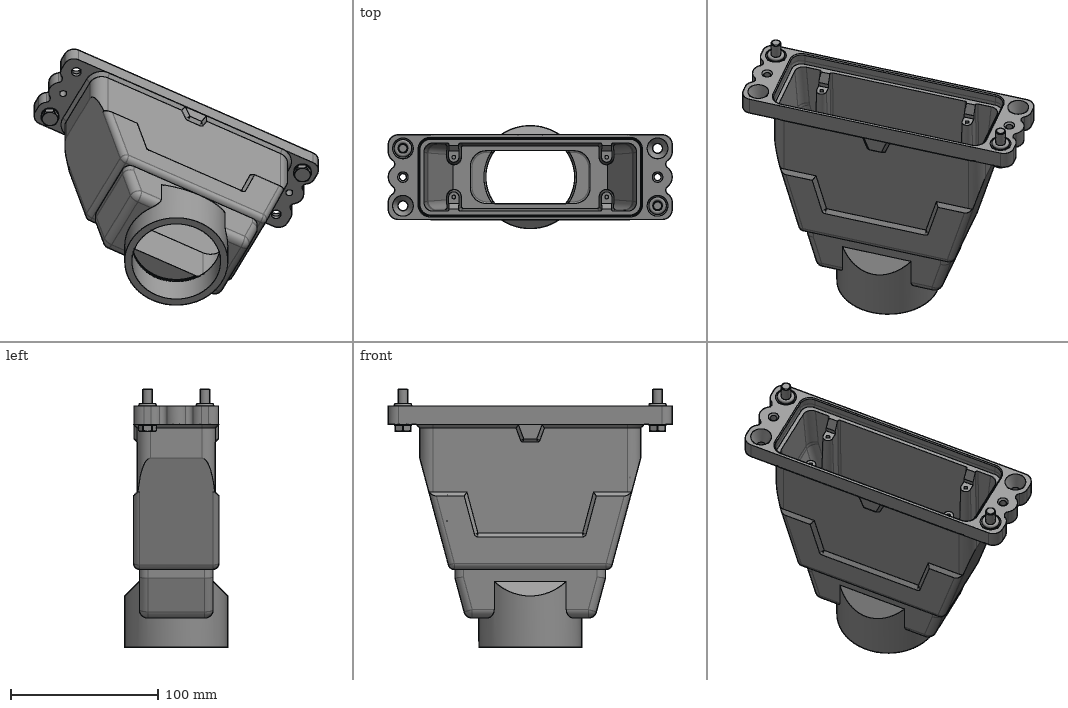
import cadquery as cq
import math


entry_floor_z = 24.0
lower_bottom_z = 19.9
lower_bend_z = 47.0
band_bottom_z = 52.9
cavity_floor_z = 58.5
band_top_z = 105.4
cavity_bend_z = 122.5
body_bend_z = 128.5
flange_bottom_z = 151.5
flange_top_z = 164.0
screw_tip_z = 175.6

bevel_angle = 45
side_slope = math.tan(math.radians(15))
flange_length = 193.0
flange_width = 57.7
flange_corner = 7.0
body_length = 150.2
body_width = 53.0
body_corner = 9.0
neck_chamfer = 2.5
band_width = 58.0
band_edge = 4.2
band_step = (band_width - body_width) / 2
lower_length = 102.3
lower_width = 50.2
lower_edge = 5.8
tube_radius = 70.0 / 2
tube_eaves_z = 35.0

window_bottom_z = 77.5
window_bottom_half = 35.5
window_top_half = window_bottom_half + (band_top_z - window_bottom_z) * side_slope

tab_height = 9.8
tab_top_half = 8.1
tab_bottom_half = 4.5

lobe_radius = 8.1
groove_radius = 3.0
groove_y = 8.9

hole_x = 86.5
hole_y = 19.5
screw_hole_diameter = 6.5
countersink_diameter = 14.0
countersink_depth = 9.6
pin_hole_diameter = 4.6
pin_hole_mouth = 7.1
screw_tip_chamfer = 0.5
ring_diameter = 12.0
ring_section = 2.9
ring_top_z = 165.8
washer_diameter = 11.8
washer_thickness = 0.8
head_across_flats = 10.8
head_bottom_z = 146.7
head_corner_diameter = 12.2
head_chamfer = 0.8

recess_length = 152.5
recess_width = 54.0
recess_corner = 8.3
recess_depth = 8.3
recess_chamfer = 0.8
recess_foot_height = 2.3
recess_foot_angle = 14
ledge_z = flange_top_z - recess_depth
cavity_length = 144.4
cavity_width = 46.3
cavity_corner = 6.2
cavity_floor_half = 52.5
cavity_bend_half = cavity_floor_half + (cavity_bend_z - cavity_floor_z) * side_slope
cavity_bend_radius = 15.5
boss_fillet = 1.4
draft_angle = 1.1
entry_length = 81.5
entry_width = 35.9
entry_corner = 11.0
entry_floor_fillet = 1.2
bore_radius = 30.1
bore_chamfer = 1.4

boss_x = 52.0
boss_y = 13.5
boss_radius = 3.3
boss_top_z = 146.3
boss_hole_diameter = 2.5
boss_hole_depth = 9.6
ramp_foot_y = 17.8
ramp_head_y = 21.6
ramp_drop = 6.4

pick_margin = 2.0


def rounded_block(length, width, corner, bottom_z, height):
    block = cq.Workplane("XY").box(length, width, height, centered=(True, True, False))
    return block.edges("|Z").fillet(corner).translate((0, 0, bottom_z))


def tapered_block(length, width, corner, start_z, height, angle):
    """Rounded block that narrows by angle along its height (negative height goes down)."""
    outline = cq.Sketch().rect(length, width).vertices().fillet(corner)
    return cq.Workplane("XY", origin=(0, 0, start_z)).placeSketch(outline).extrude(height, taper=angle)


def disc(diameter, bottom_z, height):
    return cq.Workplane("XY", origin=(0, 0, bottom_z)).circle(diameter / 2).extrude(height)


def mirrored_prism(half_profile, width):
    """Prism along Y from (x, z) points on the +X side, mirrored to -X."""
    mirrored = [(-x, z) for x, z in reversed(half_profile)]
    prism = cq.Workplane("XZ").polyline(half_profile + mirrored).close()
    return prism.extrude(width / 2, both=True)


def four_corners(shape):
    """Copies of a +X +Y shape in all four quadrants."""
    pair = shape.union(shape.mirror("YZ"))
    return pair.union(pair.mirror("XZ"))


def edges_at_height(z):
    """Selector for edges centred on the XZ plane at height z."""
    low = (-flange_length, -pick_margin, z - pick_margin)
    high = (flange_length, pick_margin, z + pick_margin)
    return cq.selectors.BoxSelector(low, high)


def body_half_length(z):
    return body_length / 2 - max(0, body_bend_z - z) * side_slope


def make_flange():
    """Rounded plate whose ends are scalloped into three lobes."""
    height = flange_top_z - flange_bottom_z
    end_x = flange_length / 2
    lobe_x = end_x - lobe_radius
    corner_x = end_x - flange_corner
    groove_x = lobe_x + math.sqrt((lobe_radius + groove_radius) ** 2 - groove_y ** 2)
    corner_reach = flange_corner + groove_radius
    corner_y = groove_y + math.sqrt(corner_reach ** 2 - (groove_x - corner_x) ** 2)
    lobe_share = lobe_radius / (lobe_radius + groove_radius)
    corner_share = flange_corner / corner_reach
    lobe_touch = (lobe_x + (groove_x - lobe_x) * lobe_share, groove_y * lobe_share)
    corner_touch = (
        corner_x + (groove_x - corner_x) * corner_share,
        corner_y + (groove_y - corner_y) * corner_share,
    )
    notch = (
        cq.Workplane("XY", origin=(0, 0, flange_bottom_z))
        .moveTo(end_x, 0)
        .radiusArc(lobe_touch, -lobe_radius)
        .radiusArc(corner_touch, groove_radius)
        .radiusArc((end_x, corner_y), -flange_corner)
        .close()
        .extrude(height)
    )
    flange = rounded_block(flange_length, flange_width, flange_corner, flange_bottom_z, height)
    return flange.cut(four_corners(notch))


def make_body():
    """Upper housing, tapering at its ends, with a chamfered neck under the flange."""
    height = flange_bottom_z - band_top_z
    block = rounded_block(body_length, body_width, body_corner, band_top_z, height)
    profile = [
        (body_half_length(band_top_z), band_top_z),
        (body_length / 2, body_bend_z),
        (body_length / 2, flange_bottom_z),
    ]
    neck = tapered_block(
        body_length + 2 * neck_chamfer, body_width + 2 * neck_chamfer, body_corner + neck_chamfer,
        flange_bottom_z, -neck_chamfer, bevel_angle,
    )
    return block.intersect(mirrored_prism(profile, body_width)).union(neck)


def make_band():
    """Thicker lower half of the housing, with a window sunk into its front and back."""
    profile = [
        (body_half_length(band_bottom_z), band_bottom_z),
        (body_half_length(band_top_z), band_top_z),
    ]
    band = mirrored_prism(profile, band_width).edges("not >Z").fillet(band_edge)
    far_x = body_length
    window = [
        (window_bottom_half, window_bottom_z),
        (window_top_half, band_top_z),
        (far_x, band_top_z),
        (far_x, flange_top_z),
    ]
    outline = window + [(-x, z) for x, z in reversed(window)]
    cutter = (
        cq.Workplane("XZ", origin=(0, -body_width / 2, 0))
        .polyline(outline).close()
        .extrude(band_step, taper=-bevel_angle)
    )
    return band.cut(cutter).cut(cutter.mirror("XZ"))


def make_tab():
    """Bevelled tab on the front wall, flush with the flange."""
    face_bottom_z = flange_bottom_z - tab_height
    face = [
        (tab_top_half, flange_bottom_z),
        (tab_bottom_half, face_bottom_z),
        (-tab_bottom_half, face_bottom_z),
        (-tab_top_half, flange_bottom_z),
    ]
    step = (flange_width - body_width) / 2
    tab = (
        cq.Workplane("XZ", origin=(0, -flange_width / 2, 0))
        .polyline(face).close()
        .extrude(-step, taper=-bevel_angle)
    )
    below_flange = rounded_block(flange_length, flange_width, flange_corner, 0, flange_top_z)
    return tab.intersect(below_flange)


def make_lower_box():
    """Smaller tapered box that joins the housing to the cable entry."""
    half = lower_length / 2
    profile = [
        (half - (lower_bend_z - lower_bottom_z) * side_slope, lower_bottom_z),
        (half, lower_bend_z),
        (half, band_bottom_z + band_edge),
    ]
    box = mirrored_prism(profile, lower_width)
    rounded_edges = box.edges("not >Z").edges(cq.selectors.InverseSelector(edges_at_height(lower_bend_z)))
    return rounded_edges.fillet(lower_edge)


def make_cable_entry():
    """Round tube whose front and back are cut to 45 degree roofs above the lower box."""
    tube = disc(2 * tube_radius, 0, band_bottom_z)
    ridge_half = tube_radius - (band_bottom_z - tube_eaves_z)
    roof = [
        (tube_radius, 0),
        (tube_radius, tube_eaves_z),
        (ridge_half, band_bottom_z),
    ]
    outline = roof + [(-y, z) for y, z in reversed(roof)]
    return tube.intersect(cq.Workplane("YZ").polyline(outline).close().extrude(tube_radius, both=True))


def make_recess():
    """Recess with a chamfered mouth and a slightly sloped foot above the ledge."""
    length = recess_length - 2 * recess_chamfer
    width = recess_width - 2 * recess_chamfer
    corner = recess_corner - recess_chamfer
    foot_top_z = ledge_z + recess_foot_height
    straight = rounded_block(length, width, corner, foot_top_z, flange_top_z - foot_top_z)
    mouth = tapered_block(
        recess_length, recess_width, recess_corner, flange_top_z, -recess_chamfer, bevel_angle,
    )
    foot = tapered_block(length, width, corner, foot_top_z, -recess_foot_height, recess_foot_angle)
    return straight.union(mouth).union(foot)


def make_boss():
    """Drafted screw boss at +X +Y, cut down from the ledge by a ramp and a flat top."""
    length = cavity_width / 2 - boss_y
    outline = (
        cq.Sketch()
        .push([(boss_x, boss_y)]).circle(boss_radius).reset()
        .push([(boss_x, boss_y + length / 2)]).rect(2 * boss_radius, length).reset()
        .clean()
    )
    column = (
        cq.Workplane("XY", origin=(0, 0, ledge_z))
        .placeSketch(outline)
        .extrude(cavity_floor_z - ledge_z, taper=-draft_angle)
    )
    above_ramp = (
        cq.Workplane("YZ")
        .polyline([
            (ramp_head_y, ledge_z),
            (ramp_foot_y, ledge_z - ramp_drop),
            (ramp_foot_y, boss_top_z),
            (0, boss_top_z),
            (0, ledge_z),
        ]).close()
        .extrude(cavity_length / 2)
    )
    hole = disc(boss_hole_diameter, boss_top_z - boss_hole_depth, boss_hole_depth)
    return column.cut(above_ramp).cut(hole.translate((boss_x, boss_y, 0)))


def make_cavity():
    """Main cavity with sloping ends, leaving the four screw bosses standing."""
    depth = ledge_z - cavity_floor_z
    profile = [
        (cavity_floor_half, cavity_floor_z),
        (cavity_bend_half, cavity_bend_z),
        (cavity_length / 2, ledge_z),
    ]
    prism = mirrored_prism(profile, cavity_width)
    prism = prism.edges("|Y").edges(edges_at_height(cavity_bend_z)).fillet(cavity_bend_radius)
    floor_half_width = cavity_width / 2 - depth * math.tan(math.radians(draft_angle))
    walls = (
        cq.Workplane("YZ")
        .polyline([
            (floor_half_width, cavity_floor_z),
            (cavity_width / 2, ledge_z),
            (-cavity_width / 2, ledge_z),
            (-floor_half_width, cavity_floor_z),
        ]).close()
        .extrude(cavity_length / 2, both=True)
    )
    cavity = prism.intersect(walls).edges("not (|X or |Y)").fillet(cavity_corner)

    around_bosses = walls.cut(four_corners(make_boss()))
    inset = cavity_length / 2 - pick_margin
    between_ends = cq.selectors.BoxSelector(
        (-inset, -cavity_width, 0), (inset, cavity_width, flange_top_z)
    )
    middle = cq.selectors.BoxSelector(
        (-inset, -ramp_head_y, 0), (inset, ramp_head_y, flange_top_z)
    )
    upright = around_bosses.edges("not (|X or |Y)").edges(between_ends - middle)
    return cavity.intersect(upright.fillet(boss_fillet))


def make_entry_passage():
    """Pocket inside the lower box and the bore through the tube."""
    pocket = rounded_block(entry_length, entry_width, entry_corner,
                           entry_floor_z, cavity_floor_z - entry_floor_z)
    pocket = pocket.faces("<Z").edges().fillet(entry_floor_fillet)
    bore = disc(2 * bore_radius, 0, entry_floor_z + entry_floor_fillet)
    mouth = (
        cq.Workplane("XY", origin=(0, 0, entry_floor_z))
        .circle(bore_radius + bore_chamfer)
        .extrude(-bore_chamfer, taper=bevel_angle)
    )
    return pocket.union(bore).union(mouth)


def countersunk_hole():
    cone = cq.Workplane(cq.Solid.makeCone(
        screw_hole_diameter / 2, countersink_diameter / 2, countersink_depth,
        pnt=cq.Vector(0, 0, flange_top_z - countersink_depth),
    ))
    return cone.union(disc(screw_hole_diameter, flange_bottom_z, flange_top_z - flange_bottom_z))


def pin_hole():
    chamfer = (pin_hole_mouth - pin_hole_diameter) / 2
    mouth = (
        cq.Workplane("XY", origin=(0, 0, flange_top_z))
        .circle(pin_hole_mouth / 2)
        .extrude(-chamfer, taper=bevel_angle)
    )
    return mouth.union(disc(pin_hole_diameter, flange_bottom_z, flange_top_z - flange_bottom_z))


def make_screw():
    """Screw through the flange: hexagon head and washer below, sealing ring above."""
    washer_bottom_z = flange_bottom_z - washer_thickness
    shank = disc(screw_hole_diameter, head_bottom_z, screw_tip_z - head_bottom_z)
    shank = shank.faces(">Z").chamfer(screw_tip_chamfer)
    ring_centre_z = ring_top_z - ring_section / 2
    ring = cq.Workplane(cq.Solid.makeTorus(
        (ring_diameter - ring_section) / 2, ring_section / 2, cq.Vector(0, 0, ring_centre_z),
    ))
    washer = disc(washer_diameter, washer_bottom_z, washer_thickness)
    head = (
        cq.Workplane("XY", origin=(0, 0, head_bottom_z))
        .polygon(6, head_across_flats, circumscribed=True)
        .extrude(washer_bottom_z - head_bottom_z)
    )
    corner_trim = disc(head_corner_diameter, head_bottom_z, washer_bottom_z - head_bottom_z)
    head = head.intersect(corner_trim.faces("<Z").chamfer(head_chamfer))
    return shank.union(ring).union(washer).union(head)


tab = make_tab()
result = make_flange().union(make_body()).union(make_band())
result = result.union(make_lower_box()).union(make_cable_entry())
result = result.union(tab).union(tab.mirror("XZ"))

for void in (make_recess(), make_cavity(), make_entry_passage()):
    result = result.cut(void)

result = result.cut(four_corners(countersunk_hole().translate((hole_x, hole_y, 0))))
for side in (-1, 1):
    result = result.cut(pin_hole().translate((side * hole_x, 0, 0)))
    result = result.union(make_screw().translate((side * hole_x, -side * hole_y, 0)))